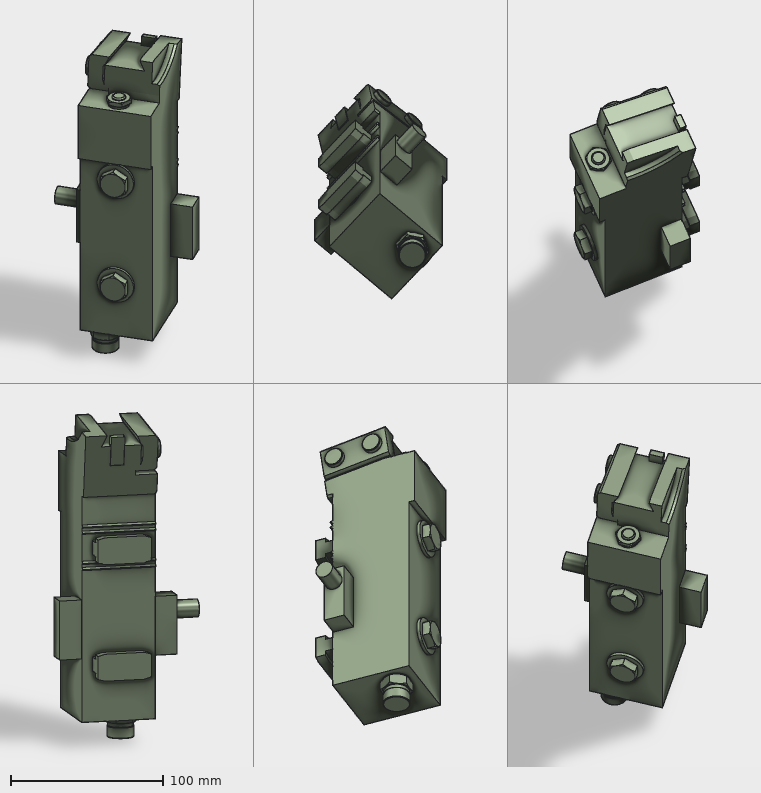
import cadquery as cq
import math

BODY_WIDTH = 50.0
BODY_DEPTH = 55.0
BODY_HEIGHT = 171.2
HEAD_STEP = 4.0
HEAD_BOTTOM = 131.2
OVERHANG_BOTTOM = 151.5
OVERHANG_CHAMFER_HEIGHT = 2.0
OVERHANG_CHAMFER_WIDTH = 1.0
HALF_WIDTH = BODY_WIDTH / 2

TILT = 8.0
SEAT_Y = 15.0
SEAT_Z = 176.5
LEDGE_DROP = 4.8
SEAT_LEFT = -10.0
HOLDER_LENGTH = 47.0

JAW_LEFT = -24.4
JAW_TOP = 22.0
JAW_BOTTOM = -2.0
JAW_CHAMFER = 1.8
RAIL_TOP = 23.4
RAIL_RIGHT = 19.4
RAIL_FLAT_Z = 199.0
SLOT_FLOOR = 15.9
LIP = 10.4
DOVETAIL_ANGLE = 25.0
GAP_RIGHT = -13.2
GAP_LEFT = -14.4
GAP_BOTTOM = 2.3
GAP_TAPER_TOP = 5.6
NOTCH_FLOOR = 7.9
NOTCH_LENGTH = 37.7
NOTCH_RADIUS = 50.0
NOTCH_CHAMFER_DEPTH = 0.8
NOTCH_CHAMFER_WIDTH = 2.0
STOP_LEFT = -1.6
STOP_WIDTH = 9.2
STOP_FRONT = 43.3
STOP_BACK = 47.7
STOP_BOTTOM = 2.7
STOP_TOP = 22.3

CLAMP_HEAD_DIAMETER = 13.0
CLAMP_HEAD_HEIGHT = 3.3
CLAMP_HEAD_CHAMFER = 0.5
CLAMP_SHANK_DIAMETER = 8.0
CLAMP_POSITIONS = (10.0, 37.3)
CLAMP_HEIGHT = 10.1

BOLT_HEIGHTS = (39.0, 117.0)
WASHER_DIAMETER = 25.0
WASHER_THICKNESS = 2.2
BOLT_HEX_FLATS = 17.1
BOLT_HEAD_FRONT = -8.0
COLLAR_DIAMETER = 10.0
COLLAR_LENGTH = 1.0
T_NUT_WIDTH = 36.2
T_NUT_NECK_HEIGHT = 12.0
T_NUT_HEIGHT = 18.0
T_NUT_THICKNESS = 6.9
T_NUT_BACK = 70.4
T_NUT_CORNER_X = 4.7
T_NUT_CORNER_Z = 1.3
RIDGE_OFFSETS = (-14.2, -10.1, 10.1, 14.2)
RIDGE_HEIGHT = 2.0
RIDGE_BASE = 2.2

BAR_LENGTH = 80.0
BAR_FRONT = 40.0
BAR_BACK = 54.5
BAR_BOTTOM = 42.5
BAR_TOP = 82.0
PIN_DIAMETER = 12.0
PIN_LENGTH = 15.5
PIN_Y = 47.4
PIN_Z = 71.4

PLUG_Y = 5.7
PLUG_COLLAR_DIAMETER = 14.0
PLUG_COLLAR_HEIGHT = 1.8
PLUG_HEX_FLATS = 15.0
PLUG_HEX_HEIGHT = 3.3
PLUG_TIP_DIAMETER = 9.2
PLUG_TIP_HEIGHT = 1.5
PLUG_TIP_CHAMFER = 0.9

FITTING_X = -12.0
FITTING_Y = 14.8
FITTING_HEX_FLATS = 19.0
FITTING_COLLAR_HEIGHT = 0.8
FITTING_HEX_HEIGHT = 7.5
FITTING_NECK_DIAMETER = 17.1
FITTING_NECK_HEIGHT = 2.5
FITTING_END_DIAMETER = 18.0
FITTING_LENGTH = 18.5
FITTING_CHAMFER = 0.5

HEX_HALF_ANGLE = 30.0
HEX_BEVEL_RATIO = 0.5
OVERLAP = 1.0

COS_TILT = math.cos(math.radians(TILT))
SIN_TILT = math.sin(math.radians(TILT))


def box(x0, x1, y0, y1, z0, z1):
    """Box between two opposite corners."""
    return cq.Workplane("XY").box(x1 - x0, y1 - y0, z1 - z0, centered=False).translate((x0, y0, z0))


def along_x(points, x0, x1):
    """Prism with a (y, z) outline, running from x0 to x1."""
    return cq.Workplane("YZ").polyline(points).close().extrude(x1 - x0).translate((x0, 0, 0))


def along_y(points, y0, y1):
    """Prism with an (x, z) outline, running from y0 to y1."""
    return cq.Workplane("XZ").polyline(points).close().extrude(y0 - y1).translate((0, y0, 0))


def rounded_hexagon(flats, height, bevelled_ends="<Z or >Z"):
    """Upright hexagonal prism with two corners on the X axis, bevelled at the chosen ends."""
    corners = flats / math.cos(math.radians(HEX_HALF_ANGLE))
    bevel = (corners - flats) / 2
    turned = cq.Workplane("XY").circle(corners / 2).extrude(height)
    turned = turned.faces(bevelled_ends).chamfer(bevel * HEX_BEVEL_RATIO, bevel)
    return cq.Workplane("XY").polygon(6, corners).extrude(height).intersect(turned)


def disc(diameter, height):
    """Upright cylinder with its bottom at z = 0."""
    return cq.Workplane("XY").circle(diameter / 2).extrude(height)


def tilted(shape):
    """Move a shape from the tilted holder frame to its place on the body."""
    return shape.rotate((0, 0, 0), (1, 0, 0), -TILT).translate((0, SEAT_Y, SEAT_Z))


def tilted_point(y, z):
    """Place of a tilted-frame point in the (y, z) plane."""
    return (SEAT_Y + y * COS_TILT + z * SIN_TILT, SEAT_Z - y * SIN_TILT + z * COS_TILT)


def make_body():
    """Body with its head, tilted ledge and raised seat."""
    ledge_back = tilted_point(HOLDER_LENGTH, -LEDGE_DROP)
    ledge_front = tilted_point(0, -LEDGE_DROP)
    crease_y = ledge_front[0] + (ledge_front[1] - BODY_HEIGHT) * COS_TILT / SIN_TILT
    overhang_y = ledge_back[0] - (ledge_back[1] - OVERHANG_BOTTOM) * SIN_TILT / COS_TILT
    outline = [
        (0, 0),
        (0, HEAD_BOTTOM),
        (-HEAD_STEP, HEAD_BOTTOM),
        (-HEAD_STEP, BODY_HEIGHT),
        (crease_y, BODY_HEIGHT),
        ledge_back,
        (overhang_y, OVERHANG_BOTTOM),
        (BODY_DEPTH, OVERHANG_BOTTOM),
        (BODY_DEPTH, 0),
    ]
    body = along_x(outline, -HALF_WIDTH, HALF_WIDTH)
    corner = [
        (-HALF_WIDTH, OVERHANG_BOTTOM),
        (-HALF_WIDTH, OVERHANG_BOTTOM + OVERHANG_CHAMFER_HEIGHT),
        (-HALF_WIDTH + OVERHANG_CHAMFER_WIDTH, OVERHANG_BOTTOM),
    ]
    body = body.cut(along_y(corner, BODY_DEPTH, ledge_back[0]))
    seat = [
        (SEAT_Y, BODY_HEIGHT - OVERLAP),
        (SEAT_Y, SEAT_Z),
        tilted_point(HOLDER_LENGTH, 0),
        tilted_point(HOLDER_LENGTH, -LEDGE_DROP - OVERLAP),
    ]
    return body.union(along_x(seat, SEAT_LEFT, HALF_WIDTH))


def make_notch():
    """Hollow beside the rail, rising to the back along an arc."""
    top = RAIL_TOP + OVERLAP
    center_z = NOTCH_FLOOR + NOTCH_RADIUS
    end_z = center_z - math.sqrt(NOTCH_RADIUS**2 - NOTCH_LENGTH**2)
    half_angle = math.asin(NOTCH_LENGTH / NOTCH_RADIUS) / 2
    middle = (NOTCH_RADIUS * math.sin(half_angle), center_z - NOTCH_RADIUS * math.cos(half_angle))
    profile = (
        cq.Workplane("YZ")
        .moveTo(0, NOTCH_FLOOR)
        .threePointArc(middle, (NOTCH_LENGTH, end_z))
        .lineTo(NOTCH_LENGTH, top)
        .lineTo(0, top)
        .close()
    )
    return profile.extrude(HALF_WIDTH - RAIL_RIGHT).translate((RAIL_RIGHT, 0, 0))


def make_holder():
    """Dovetail tool holder with its clamping jaw, built in the tilted frame."""
    slope = math.tan(math.radians(DOVETAIL_ANGLE))
    jaw_foot = -LIP - (JAW_TOP - SLOT_FLOOR) * slope
    rail_foot = LIP + (RAIL_TOP - SLOT_FLOOR) * slope
    outline = [
        (JAW_LEFT, JAW_BOTTOM + JAW_CHAMFER),
        (JAW_LEFT, JAW_TOP - JAW_CHAMFER),
        (JAW_LEFT + JAW_CHAMFER, JAW_TOP),
        (-LIP, JAW_TOP),
        (jaw_foot, SLOT_FLOOR),
        (GAP_LEFT, SLOT_FLOOR - OVERLAP),
        (GAP_LEFT, GAP_TAPER_TOP),
        (GAP_RIGHT, GAP_BOTTOM),
        (GAP_RIGHT, SLOT_FLOOR),
        (rail_foot, SLOT_FLOOR),
        (LIP, RAIL_TOP),
        (HALF_WIDTH, RAIL_TOP),
        (HALF_WIDTH, 0),
        (SEAT_LEFT, 0),
        (SEAT_LEFT, JAW_BOTTOM),
        (JAW_LEFT + JAW_CHAMFER, JAW_BOTTOM),
    ]
    holder = along_y(outline, 0, HOLDER_LENGTH).cut(make_notch())
    floor_edge = holder.edges(cq.NearestToPointSelector((HALF_WIDTH, NOTCH_LENGTH / 2, NOTCH_FLOOR)))
    holder = floor_edge.chamfer(NOTCH_CHAMFER_DEPTH, NOTCH_CHAMFER_WIDTH)
    stop_right = STOP_LEFT + STOP_WIDTH
    stop = box(STOP_LEFT, stop_right, STOP_FRONT, STOP_BACK, STOP_BOTTOM, STOP_TOP)
    holder = holder.union(stop)
    for position in CLAMP_POSITIONS:
        holder = holder.union(make_clamp_screw().translate((JAW_LEFT, position, CLAMP_HEIGHT)))
    return holder


def make_clamp_screw():
    """Screw along X with its head to the left of the origin and its shank crossing the gap."""
    head = disc(CLAMP_HEAD_DIAMETER, CLAMP_HEAD_HEIGHT).faces(">Z").chamfer(CLAMP_HEAD_CHAMFER)
    shank_length = GAP_RIGHT - JAW_LEFT + OVERLAP
    shank = disc(CLAMP_SHANK_DIAMETER, shank_length).translate((0, 0, -shank_length))
    return head.union(shank).rotate((0, 0, 0), (0, 1, 0), -90)


def make_bolt_head():
    """Washer and hexagon head in front of the body, centred on z = 0."""
    washer = disc(WASHER_DIAMETER, WASHER_THICKNESS)
    head = rounded_hexagon(BOLT_HEX_FLATS, -BOLT_HEAD_FRONT, ">Z")
    head = head.rotate((0, 0, 0), (0, 0, 1), HEX_HALF_ANGLE)
    return washer.union(head).rotate((0, 0, 0), (1, 0, 0), 90)


def t_nut_step(height, y0, y1):
    """Block as wide as the T-nut, with bevelled corners."""
    half_x = T_NUT_WIDTH / 2
    half_z = height / 2
    flat_x = half_x - T_NUT_CORNER_X
    flat_z = half_z - T_NUT_CORNER_Z
    outline = [
        (-half_x, -flat_z),
        (-half_x, flat_z),
        (-flat_x, half_z),
        (flat_x, half_z),
        (half_x, flat_z),
        (half_x, -flat_z),
        (flat_x, -half_z),
        (-flat_x, -half_z),
    ]
    return along_y(outline, y0, y1)


def make_t_nut():
    """T-nut behind the body and the collar that joins them, centred on z = 0."""
    collar = disc(COLLAR_DIAMETER, OVERLAP + COLLAR_LENGTH).rotate((0, 0, 0), (1, 0, 0), -90)
    collar = collar.translate((0, BODY_DEPTH - OVERLAP, 0))
    shoulder = T_NUT_BACK - T_NUT_THICKNESS
    neck = t_nut_step(T_NUT_NECK_HEIGHT, BODY_DEPTH + COLLAR_LENGTH, shoulder)
    head = t_nut_step(T_NUT_HEIGHT, shoulder, T_NUT_BACK)
    return collar.union(neck).union(head)


def make_ridge(z):
    """Pointed ridge across the back of the body."""
    half_base = RIDGE_BASE / 2
    outline = [
        (BODY_DEPTH, z - half_base),
        (BODY_DEPTH + RIDGE_HEIGHT, z),
        (BODY_DEPTH, z + half_base),
    ]
    return along_x(outline, -HALF_WIDTH, HALF_WIDTH)


def make_bar():
    """Cross bar through the body with a pin at its left end."""
    half = BAR_LENGTH / 2
    bar = box(-half, half, BAR_FRONT, BAR_BACK, BAR_BOTTOM, BAR_TOP)
    pin = cq.Workplane("YZ").circle(PIN_DIAMETER / 2).extrude(PIN_LENGTH)
    return bar.union(pin.translate((-half - PIN_LENGTH, PIN_Y, PIN_Z)))


def make_plug():
    """Hexagon plug on top of the head."""
    hex_top = PLUG_COLLAR_HEIGHT + PLUG_HEX_HEIGHT
    collar = disc(PLUG_COLLAR_DIAMETER, PLUG_COLLAR_HEIGHT)
    nut = rounded_hexagon(PLUG_HEX_FLATS, PLUG_HEX_HEIGHT).translate((0, 0, PLUG_COLLAR_HEIGHT))
    tip = disc(PLUG_TIP_DIAMETER, PLUG_TIP_HEIGHT).faces(">Z").chamfer(PLUG_TIP_CHAMFER)
    plug = collar.union(nut).union(tip.translate((0, 0, hex_top)))
    return plug.translate((0, PLUG_Y, BODY_HEIGHT))


def make_fitting():
    """Hose fitting that hangs from the bottom of the body."""
    neck_top = FITTING_COLLAR_HEIGHT + FITTING_HEX_HEIGHT
    end_top = neck_top + FITTING_NECK_HEIGHT
    collar = disc(FITTING_HEX_FLATS, FITTING_COLLAR_HEIGHT)
    nut = rounded_hexagon(FITTING_HEX_FLATS, FITTING_HEX_HEIGHT)
    neck = disc(FITTING_NECK_DIAMETER, FITTING_NECK_HEIGHT).translate((0, 0, neck_top))
    end = disc(FITTING_END_DIAMETER, FITTING_LENGTH - end_top).faces("<Z or >Z").chamfer(FITTING_CHAMFER)
    fitting = collar.union(nut.translate((0, 0, FITTING_COLLAR_HEIGHT)))
    fitting = fitting.union(neck).union(end.translate((0, 0, end_top)))
    return fitting.rotate((0, 0, 0), (1, 0, 0), 180).translate((FITTING_X, FITTING_Y, 0))


holder = tilted(make_holder())
rail_cutter = box(0, BODY_WIDTH, 0, 2 * BODY_DEPTH, RAIL_FLAT_Z, RAIL_FLAT_Z + RAIL_TOP)
holder = holder.cut(rail_cutter)

result = make_body().union(holder)
for bolt_height in BOLT_HEIGHTS:
    result = result.union(make_bolt_head().translate((0, 0, bolt_height)))
    result = result.union(make_t_nut().translate((0, 0, bolt_height)))
for ridge_offset in RIDGE_OFFSETS:
    result = result.union(make_ridge(max(BOLT_HEIGHTS) + ridge_offset))
result = result.union(make_bar())
result = result.union(make_plug())
result = result.union(make_fitting())